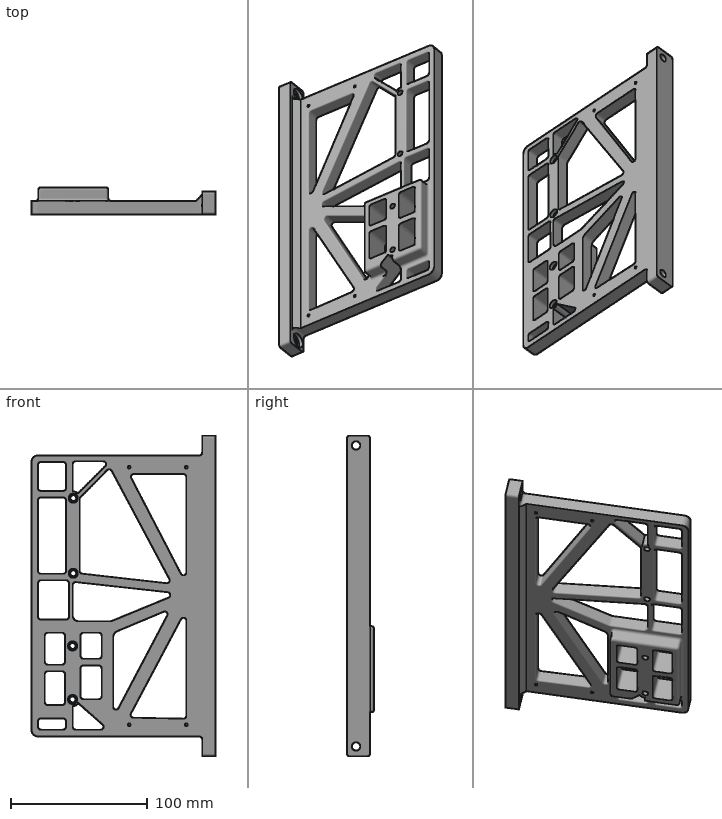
import cadquery as cq

WIDTH = 135.0
PLATE_HEIGHT = 206.0
PLATE_THICKNESS = 10.0
PLATE_CORNER_RADIUS = 5.0
EDGE_RADIUS = 2.0

FLANGE_HEIGHT = 235.0
FLANGE_WIDTH = 10.0
FLANGE_DEPTH = 17.0
RIB_RISE = 4.5

FLANGE_SCREW_Y = 6.75
FLANGE_SCREW_END_DISTANCE = 7.3
FLANGE_SCREW_DIAMETER = 6.0
FLANGE_BORE_DIAMETER = 11.0
FLANGE_BORE_DEPTH = 3.0

BLOCK_LEFT = 5.0
BLOCK_RIGHT = 56.5
BLOCK_BOTTOM = -85.2
BLOCK_TOP = -22.0
TOTAL_DEPTH = 20.0
FOOTING_MARGIN = 2.1

PLATE_SCREWS = [(30.7, 71.6), (30.7, 16.6), (30.2, -36.6), (30.2, -75.8)]
PLATE_SCREW_DIAMETER = 4.2
PLATE_BORE_DIAMETER = 6.8
PLATE_BORE_DEPTH = 3.0
SCREW_LAND_RADIUS = 5.0

PIN_DIAMETER = 1.8
PIN_COLUMNS = [71.6, 113.4]
PIN_HEIGHT = 94.3

FRAME_LEFT = 5.0
FRAME_RIGHT = 25.3
PLATE_WINDOWS = [
    (FRAME_LEFT, 77.0, FRAME_RIGHT, 98.0),
    (FRAME_LEFT, 16.3, FRAME_RIGHT, 72.0),
    (FRAME_LEFT, -17.2, 27.5, 11.4),
    (FRAME_LEFT, -97.8, FRAME_RIGHT, -89.8),
]
BLOCK_WINDOWS = [
    (10.0, -50.2, 24.6, -27.0),
    (10.0, -79.8, 24.6, -55.2),
    (36.1, -45.9, 51.4, -27.0),
    (36.1, -75.5, 51.4, -51.0),
]

OPENING_EDGE_RADIUS = 1.0

R = EDGE_RADIUS
STRUT_LEFT = 30.4
FLANGE_SIDE = 113.4
UPPER_CORNER = [(STRUT_LEFT, 98.5, R), (57.5, 98.5, R), (STRUT_LEFT, 71.4, R)]
LOWER_CORNER = [(STRUT_LEFT, -75.0, R), (56.1, -97.8, R), (STRUT_LEFT, -97.8, R)]
UPPER_INNER = [(35.5, 71.7, R), (57.5, 94.0, R), (102.8, 9.0, R), (35.5, 16.6, R)]
UPPER_OUTER = [(71.8, 89.2, R), (FLANGE_SIDE, 89.2, R), (FLANGE_SIDE, 9.0, R)]
MIDDLE = [(STRUT_LEFT, 10.3, R), (107.7, 1.8, R), (58.5, -18.4, 5.0), (STRUT_LEFT, -18.4, 4.0)]
LOWER_INNER = [(60.0, -27.1, 5.0), (102.0, -9.5, R), (60.0, -89.2, R)]
LOWER_OUTER = [(71.5, -89.0, R), (FLANGE_SIDE, -89.8, R), (FLANGE_SIDE, -10.0, R)]

FLANGE_FACE = WIDTH - FLANGE_WIDTH
PLATE_TOP = PLATE_HEIGHT / 2
FLANGE_TOP = FLANGE_HEIGHT / 2


def box(x_range, y_range, z_range):
    """Axis-aligned box given by its (low, high) limits."""
    sizes = [high - low for low, high in (x_range, y_range, z_range)]
    corner = (x_range[0], y_range[0], z_range[0])
    return cq.Workplane("XY").box(*sizes, centered=False).translate(corner)


def cylinder_y(x, z, diameter, depth):
    """Cylinder running from the front face toward +Y."""
    return cq.Workplane("XZ").center(x, z).circle(diameter / 2).extrude(-depth)


def opening(corners):
    """Rounded prism that passes through the full depth of the part."""
    outline = [(x, z) for x, z, _ in corners]
    prism = cq.Workplane("XZ").polyline(outline).close().extrude(-TOTAL_DEPTH)
    for x, z, radius in corners:
        nearest = cq.selectors.NearestToPointSelector((x, TOTAL_DEPTH / 2, z))
        prism = prism.edges("|Y").edges(nearest).fillet(radius)
    return prism


def window(left, bottom, right, top):
    return opening([(left, bottom, R), (right, bottom, R), (right, top, R), (left, top, R)])


def make_plate():
    plate = box((0, FLANGE_FACE), (0, PLATE_THICKNESS), (-PLATE_TOP, PLATE_TOP))
    return plate.edges("|Y and <X").fillet(PLATE_CORNER_RADIUS)


def make_open_plate(cutters):
    """Plate with its openings, their edges rounded on the back."""
    plate = make_plate()
    for cutter in cutters:
        plate = plate.cut(cutter)
    back = plate.faces(">Y").val()
    edges = [edge for wire in back.innerWires() for edge in wire.Edges()]
    return plate.newObject(edges).fillet(OPENING_EDGE_RADIUS)


def make_flange():
    flange = box((FLANGE_FACE, WIDTH), (0, FLANGE_DEPTH), (-FLANGE_TOP, FLANGE_TOP))
    return flange.edges("|X").fillet(EDGE_RADIUS)


def rib_profile():
    """Section of the plate's flange end, with the 45 degree rib on its back."""
    return [
        (FLANGE_FACE, 0),
        (FLANGE_FACE, PLATE_THICKNESS + RIB_RISE),
        (FLANGE_FACE - RIB_RISE, PLATE_THICKNESS),
        (FLANGE_FACE - RIB_RISE, 0),
    ]


def make_rib():
    """Rib with concave roundings where its ends meet the flange."""
    height = PLATE_HEIGHT + 2 * EDGE_RADIUS
    rib = cq.Workplane("XY").polyline(rib_profile()).close().extrude(height / 2, both=True)
    for side in (-1, 1):
        end = side * (PLATE_TOP + EDGE_RADIUS)
        relief = (
            cq.Workplane("XZ")
            .center(FLANGE_FACE - EDGE_RADIUS, end)
            .circle(EDGE_RADIUS)
            .extrude(-FLANGE_DEPTH)
        )
        z_range = sorted((side * PLATE_TOP, end))
        overhang = box((FLANGE_FACE - RIB_RISE, FLANGE_FACE - EDGE_RADIUS), (0, FLANGE_DEPTH), z_range)
        rib = rib.cut(overhang).cut(relief)
    return rib


def make_block():
    """Block with rounded edges, standing on a thin footing with a concave rounding around its foot."""
    x_range = (BLOCK_LEFT, BLOCK_RIGHT)
    z_range = (BLOCK_BOTTOM, BLOCK_TOP)
    body = box(x_range, (PLATE_THICKNESS, TOTAL_DEPTH), z_range).edges("|Y").fillet(EDGE_RADIUS)
    body = body.faces(">Y").edges().fillet(EDGE_RADIUS)
    footing = box(
        (BLOCK_LEFT - FOOTING_MARGIN, BLOCK_RIGHT + FOOTING_MARGIN),
        (PLATE_THICKNESS - OPENING_EDGE_RADIUS, PLATE_THICKNESS),
        (BLOCK_BOTTOM - FOOTING_MARGIN, BLOCK_TOP + FOOTING_MARGIN),
    )
    foot = cq.selectors.BoxSelector(
        (BLOCK_LEFT - EDGE_RADIUS, PLATE_THICKNESS - EDGE_RADIUS / 4, BLOCK_BOTTOM - EDGE_RADIUS),
        (BLOCK_RIGHT + EDGE_RADIUS, PLATE_THICKNESS + EDGE_RADIUS / 4, BLOCK_TOP + EDGE_RADIUS),
    )
    return body.union(footing).edges(foot).fillet(EDGE_RADIUS)


def corner_opening(corners, screw):
    """Opening that leaves a round land of solid material around a screw."""
    land = cylinder_y(*screw, 2 * SCREW_LAND_RADIUS, TOTAL_DEPTH)
    return opening(corners).cut(land)


def flange_screw(z):
    hole = cq.Workplane("YZ", origin=(FLANGE_FACE - EDGE_RADIUS, FLANGE_SCREW_Y, z))
    through = hole.circle(FLANGE_SCREW_DIAMETER / 2).extrude(FLANGE_WIDTH + EDGE_RADIUS)
    bore = hole.circle(FLANGE_BORE_DIAMETER / 2).extrude(FLANGE_BORE_DEPTH + EDGE_RADIUS)
    return through.union(bore)


upper_corner_opening = corner_opening(UPPER_CORNER, PLATE_SCREWS[0])
lower_corner_opening = corner_opening(LOWER_CORNER, PLATE_SCREWS[-1])
openings = [window(*limits) for limits in PLATE_WINDOWS]
for corners in (UPPER_INNER, UPPER_OUTER, MIDDLE, LOWER_INNER, LOWER_OUTER):
    openings.append(opening(corners))
openings += [upper_corner_opening, lower_corner_opening]

result = make_open_plate(openings).union(make_block()).union(make_rib()).union(make_flange())

result = result.cut(lower_corner_opening)
for limits in BLOCK_WINDOWS:
    result = result.cut(window(*limits))

for x, z in PLATE_SCREWS:
    result = result.cut(cylinder_y(x, z, PLATE_SCREW_DIAMETER, TOTAL_DEPTH))
    result = result.cut(cylinder_y(x, z, PLATE_BORE_DIAMETER, PLATE_BORE_DEPTH))

for side in (-1, 1):
    for x in PIN_COLUMNS:
        result = result.cut(cylinder_y(x, side * PIN_HEIGHT, PIN_DIAMETER, PLATE_THICKNESS))
    result = result.cut(flange_screw(side * (FLANGE_TOP - FLANGE_SCREW_END_DISTANCE)))